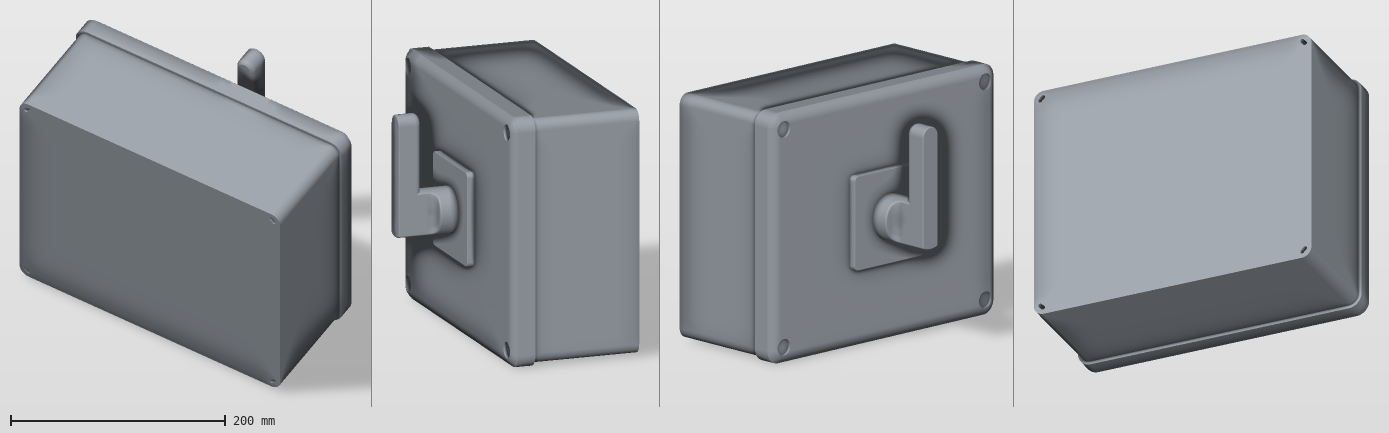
import cadquery as cq
import math

base_width = 285.0
base_height = 235.0
base_depth = 104.5
base_corner_radius = 10.0

lid_overhang = 3.0
lid_width = base_width + 2 * lid_overhang
lid_height = base_height + 2 * lid_overhang
lid_corner_radius = base_corner_radius + lid_overhang
lid_front = 127.3
lid_bevel_depth = 5.6
lid_bevel_inset = 6.9
lid_crest_radius = 12.0

back_slot_length = 8.0
back_slot_width = 4.0
back_slot_depth = 10.0
back_slot_inset = 8.0
screw_recess_diameter = 16.0
screw_recess_depth = 3.0
screw_recess_inset = 15.8

plate_size = 91.0
plate_front = 134.6
plate_corner_radius = 5.0
plate_edge_radius = 0.8

hub_diameter = 44.4
handle_front = 189.3
shoulder_y = 152.2
scoop_radius = 7.2
shoulder_edge_radius = 1.7
grip_width = 19.2
grip_back = 167.5
grip_bow_inset = 2.8
grip_bow_start = 172.2
grip_front_radius = 1.2
grip_tip_z = 95.8


def prism_y(sketch, y_start, y_end):
    """Extrude an XZ sketch from y_start to y_end along +Y."""
    return sketch.extrude(-(y_end - y_start)).translate((0, y_start, 0))


def rounded_box(width, height, radius, y_start, y_end):
    block = prism_y(cq.Workplane("XZ").rect(width, height), y_start, y_end)
    return block.edges("|Y").fillet(radius)


def corner_points(width, height, inset):
    """Points set in from the four corners of a centred rectangle, as (x, z)."""
    x = width / 2 - inset
    z = height / 2 - inset
    return [(sx * x, sz * z) for sx in (-1, 1) for sz in (-1, 1)]


def make_base():
    base = rounded_box(base_width, base_height, base_corner_radius, 0, base_depth)
    for x, z in corner_points(base_width, base_height, back_slot_inset):
        angle = 45 if x * z < 0 else -45
        oval = cq.Workplane("XZ").slot2D(back_slot_length, back_slot_width, angle)
        base = base.cut(prism_y(oval, 0, back_slot_depth).translate((x, 0, z)))
    return base


def make_lid():
    lid = rounded_box(lid_width, lid_height, lid_corner_radius, base_depth, lid_front)
    lid = lid.faces(">Y").edges().chamfer(lid_bevel_depth, lid_bevel_inset)
    lid = lid.faces(">Y").edges().fillet(lid_crest_radius)
    recesses = cq.Workplane("XZ").pushPoints(corner_points(lid_width, lid_height, screw_recess_inset))
    recesses = recesses.circle(screw_recess_diameter / 2)
    return lid.cut(prism_y(recesses, lid_front - screw_recess_depth, lid_front))


def make_plate():
    plate = rounded_box(plate_size, plate_size, plate_corner_radius, lid_front, plate_front)
    return plate.faces(">Y").edges().fillet(plate_edge_radius)


def make_hub():
    """Round hub with a scoop on each side, open along Z."""
    hub = prism_y(cq.Workplane("XZ").circle(hub_diameter / 2), plate_front, handle_front)
    neck_x = grip_width / 2
    scoop_end_x = neck_x + scoop_radius
    arc_offset = scoop_radius * (1 - math.sqrt(0.5))
    scoop = (
        cq.Workplane("XY")
        .moveTo(neck_x, handle_front)
        .lineTo(neck_x, shoulder_y + scoop_radius)
        .threePointArc((neck_x + arc_offset, shoulder_y + arc_offset), (scoop_end_x, shoulder_y))
        .lineTo(hub_diameter, shoulder_y)
        .lineTo(hub_diameter, handle_front)
        .close()
        .extrude(hub_diameter / 2, both=True)
    )
    return hub.cut(scoop).cut(scoop.mirror("YZ"))


def arm_half_section(axis_z):
    """Right half of the arm's cross-section, level with the axis of its round tip."""
    half_width = grip_width / 2
    bow_depth = grip_bow_start - grip_back
    bow_angle = 2 * math.atan2(grip_bow_inset, bow_depth)
    bow_radius = bow_depth / math.sin(bow_angle)
    bow_mid = (
        half_width - bow_radius * (1 - math.cos(bow_angle / 2)),
        grip_bow_start - bow_radius * math.sin(bow_angle / 2),
    )
    return (
        cq.Workplane("XY")
        .workplane(offset=axis_z)
        .moveTo(0, handle_front)
        .lineTo(half_width, handle_front)
        .lineTo(half_width, grip_bow_start)
        .threePointArc(bow_mid, (half_width - grip_bow_inset, grip_back))
        .lineTo(0, grip_back)
        .close()
    )


def make_arm():
    """Arm from the knob axis up to a fully rounded tip of the same section."""
    axis_z = grip_tip_z - grip_width / 2
    straight_half = arm_half_section(axis_z).extrude(-axis_z)
    tip = arm_half_section(axis_z).revolve(180, (0, 0, 0), (0, -1, 0))
    return straight_half.union(straight_half.mirror("YZ")).union(tip)


def make_handle():
    hub = make_hub()
    hub = hub.faces("%CYLINDER").edges("not(<Y or >Y)").fillet(shoulder_edge_radius)
    handle = hub.union(make_arm())
    return handle.faces(">Y").edges().fillet(grip_front_radius)


result = make_base().union(make_lid()).union(make_plate()).union(make_handle())